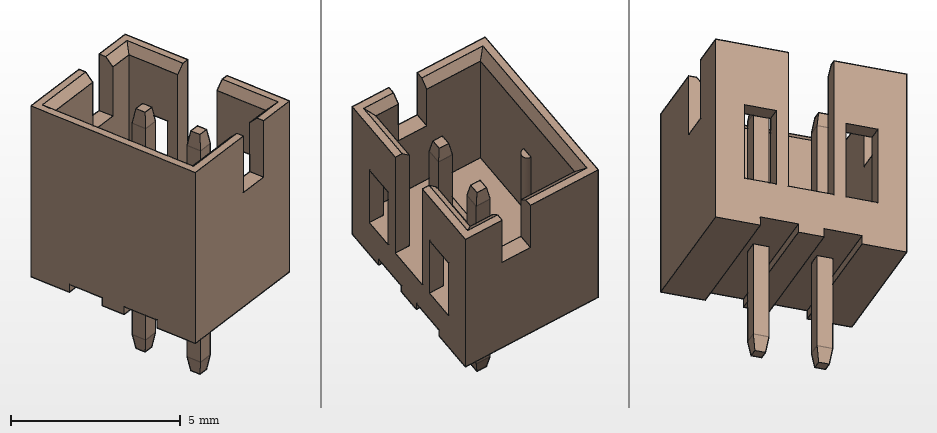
import cadquery as cq

WIDTH = 6.0
DEPTH = 4.71
HEIGHT = 6.06
WALL = 0.505
LEAD_IN = 0.26

HIGH_FLOOR = 1.51
STEP_DROP = 0.3
STEP_FROM_BACK = 2.4

PIN_SIZE = 0.5
PIN_TIP_SIZE = 0.34
PIN_TIP_LENGTH = 0.505
PIN_PITCH = 2.0
PIN_FROM_BACK = 1.8
PIN_TAIL = 3.29
PIN_BELOW_RIM = 0.85

SIDE_SLOT_WIDTH = 1.0
SIDE_SLOT_DEPTH = 2.0
BACK_SLOT_WIDTH = 1.43
WINDOW_WIDTH = 1.0
WINDOW_INNER_X = 1.09
WINDOW_BELOW_RIM = 2.06

NOTCH_WIDTH = 1.2
NOTCH_HEIGHT = 0.28
RIB_RADIUS = 0.2

BACK_Y = DEPTH / 2
FRONT_Y = -DEPTH / 2
INNER_BACK_Y = BACK_Y - WALL
INNER_FRONT_Y = FRONT_Y + WALL
INNER_WIDTH = WIDTH - 2 * WALL
INNER_DEPTH = DEPTH - 2 * WALL
LOW_FLOOR = HIGH_FLOOR - STEP_DROP
STEP_Y = BACK_Y - STEP_FROM_BACK
PIN_Y = BACK_Y - PIN_FROM_BACK
PIN_XS = (-PIN_PITCH / 2, PIN_PITCH / 2)


def block(x_range, y_range, z_range):
    """Axis-aligned box given by its limits along X, Y and Z."""
    (x0, x1), (y0, y1), (z0, z1) = x_range, y_range, z_range
    return cq.Workplane("XY").box(x1 - x0, y1 - y0, z1 - z0, centered=False).translate((x0, y0, z0))


def centred(middle, size):
    """Limits of a span of the given size about its middle."""
    return (middle - size / 2, middle + size / 2)


def cavity():
    """Space inside the walls, with its stepped floor and flared mouth."""
    profile = [
        (INNER_BACK_Y, HEIGHT),
        (INNER_BACK_Y, HIGH_FLOOR),
        (STEP_Y, HIGH_FLOOR),
        (STEP_Y - STEP_DROP, LOW_FLOOR),
        (INNER_FRONT_Y, LOW_FLOOR),
        (INNER_FRONT_Y, HEIGHT),
    ]
    space = cq.Workplane("YZ").polyline(profile).close().extrude(INNER_WIDTH / 2, both=True)
    mouth = (
        cq.Workplane("XY", origin=(0, 0, HEIGHT - LEAD_IN))
        .rect(INNER_WIDTH, INNER_DEPTH)
        .workplane(offset=LEAD_IN)
        .rect(INNER_WIDTH + 2 * LEAD_IN, INNER_DEPTH + 2 * LEAD_IN)
        .loft(ruled=True)
    )
    return space.union(mouth)


def side_slots():
    """One slot in each side wall, open at the rim and in line with the pins."""
    return block(centred(0, WIDTH), centred(PIN_Y, SIDE_SLOT_WIDTH), (HEIGHT - SIDE_SLOT_DEPTH, HEIGHT))


def back_openings():
    """Slot in the middle of the back wall and a window on each side, all down to the floor."""
    wall_span = (INNER_BACK_Y, BACK_Y)
    openings = block(centred(0, BACK_SLOT_WIDTH), wall_span, (HIGH_FLOOR, HEIGHT))
    window_middle = WINDOW_INNER_X + WINDOW_WIDTH / 2
    for x in (-window_middle, window_middle):
        window = block(centred(x, WINDOW_WIDTH), wall_span, (HIGH_FLOOR, HEIGHT - WINDOW_BELOW_RIM))
        openings = openings.union(window)
    return openings


def underside_notch(x):
    """Notch along the whole depth of the underside, below one pin."""
    return block(centred(x, NOTCH_WIDTH), centred(0, DEPTH), (0, NOTCH_HEIGHT))


def front_rib():
    """Half-round upright rib on the inside of the front wall, as high as the bottom of the side slots."""
    return (
        cq.Workplane("XY", origin=(0, INNER_FRONT_Y, LOW_FLOOR))
        .moveTo(-RIB_RADIUS, 0)
        .threePointArc((0, RIB_RADIUS), (RIB_RADIUS, 0))
        .close()
        .extrude(HEIGHT - SIDE_SLOT_DEPTH - LOW_FLOOR)
    )


def pin(x):
    """Square pin with both ends tapered."""
    shaft_bottom = PIN_TIP_LENGTH - PIN_TAIL
    shaft_top = HEIGHT - PIN_BELOW_RIM - PIN_TIP_LENGTH
    shaft = block(centred(x, PIN_SIZE), centred(PIN_Y, PIN_SIZE), (shaft_bottom, shaft_top))
    for z, direction in ((shaft_bottom, -1), (shaft_top, 1)):
        tip = (
            cq.Workplane("XY", origin=(x, PIN_Y, z))
            .rect(PIN_SIZE, PIN_SIZE)
            .workplane(offset=direction * PIN_TIP_LENGTH)
            .rect(PIN_TIP_SIZE, PIN_TIP_SIZE)
            .loft(ruled=True)
        )
        shaft = shaft.union(tip)
    return shaft


housing = block(centred(0, WIDTH), centred(0, DEPTH), (0, HEIGHT))
housing = housing.cut(cavity()).cut(side_slots()).cut(back_openings())
for pin_x in PIN_XS:
    housing = housing.cut(underside_notch(pin_x))

result = housing.union(front_rib())
for pin_x in PIN_XS:
    result = result.union(pin(pin_x))